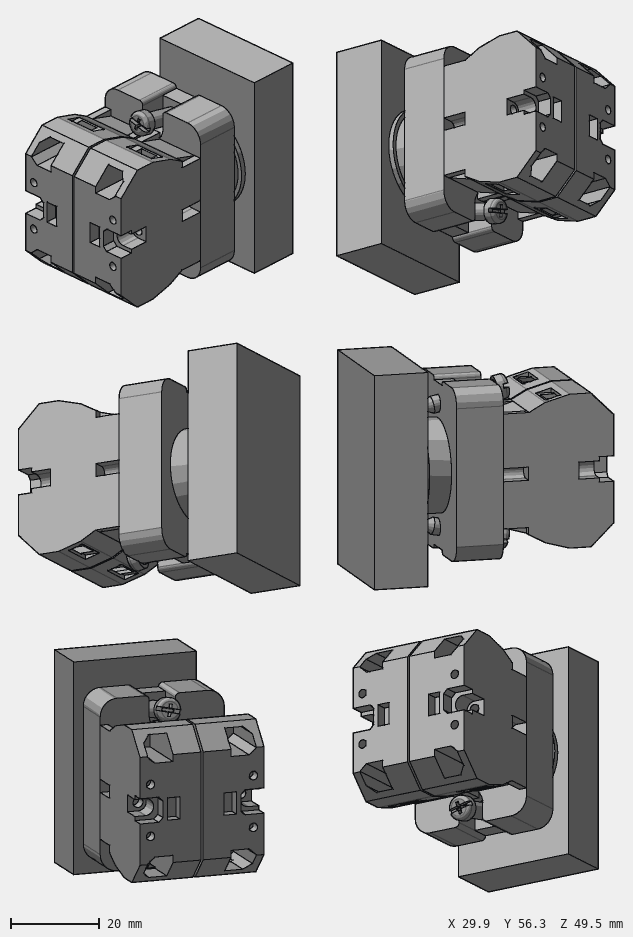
import cadquery as cq


head_width = 29.55
head_height = 49.5
head_thickness = 12.6
gasket_diameter = 23.9
gasket_thickness = 1.25
barrel_diameter = 21.8

body_width = 29.9
flange_height = 40.1
flange_corner_radius = 4.05
flange_front_y = -6.7
flange_rear_y = -17.75
notch_radius = 3.15
notch_center_z = 15.2
notch_lip_radius = 1.0
bridge_thickness = 4.45
bridge_top_z = 19.05
selection_margin = 0.05

screw_tip_y = -1.9
screw_tip_z = 13.3
screw_tilt = 11.4
screw_turn = 13.0
shank_diameter = 3.95
screw_point_length = 3.4
screw_grip_length = 18.5
screw_head_diameter = 5.75
screw_head_length = 2.75
screw_head_fillet = 0.9
slot_width = 0.95
slot_depth = 1.35
cross_length = 2.8
cross_width = 0.7
cross_depth = 1.7

block_gap = 0.55
unit_length = 56.3
block_rear_y = head_thickness - unit_length
block_half_height = 17.8
neck_half_height = 14.15
neck_low_z = 12.45
neck_end_y = -23.75
shoulder_y = -27.6
shoulder_z = 16.2
crown_start_y = -33.35
crown_end_y = -38.35
rear_half_height = 12.55
ledge_end_y = -23.65
side_strip_width = 1.85
rib_half_width = 2.2

hole_axis_x = -12.4
side_slot_radius = 1.5
pin_hole_diameter = 1.95
pin_hole_z = 6.0
pin_hole_depth = 2.8
latch_pocket_half_height = 2.9
latch_pocket_inner_x = -9.4
latch_pocket_chamfer = 1.0
latch_pocket_depth = 3.4
latch_slot_radius = 1.95
latch_slot_depth = 8.2
latch_hole_diameter = 2.35
latch_hole_depth = 2.8
key_pocket_outer_x = -8.3
key_pocket_inner_x = -5.3
key_pocket_height = 5.2
key_pocket_depth = 2.8
tunnel_inner_x = -7.0
tunnel_low_z = 10.9
tunnel_high_z = 16.6
tunnel_front_y = -28.7
tunnel_chamfer_x = 1.75
tunnel_chamfer_z = 1.5
window_front_y = -28.15
window_rear_y = -31.75
window_inner_x = -5.2
window_floor_z = 16.3

block_outer_x = -body_width / 2
block_inner_x = -block_gap / 2
strip_inner_x = block_outer_x + side_strip_width


def box_between(x0, x1, y0, y1, z0, z1):
    """Box given by its two limits along each axis."""
    size = (abs(x1 - x0), abs(y1 - y0), abs(z1 - z0))
    center = ((x0 + x1) / 2, (y0 + y1) / 2, (z0 + z1) / 2)
    return cq.Workplane("XY").box(*size).translate(center)


def section_at(y):
    """XZ sketch plane at the given Y; a positive extrusion runs toward -Y."""
    return cq.Workplane("XZ", origin=(0, y, 0))


def side_prism(points, x0, x1):
    """Prism with a YZ outline running from x0 to x1."""
    return cq.Workplane("YZ", origin=(x0, 0, 0)).polyline(points).close().extrude(x1 - x0)


def mirrored_in_z(shape):
    return shape.union(shape.mirror("XY"))


def make_head():
    return box_between(
        -head_width / 2, head_width / 2, 0, head_thickness, -head_height / 2, head_height / 2
    )


def make_gasket():
    return section_at(0).circle(gasket_diameter / 2).extrude(gasket_thickness)


def make_barrel():
    length = -flange_front_y - gasket_thickness
    return section_at(-gasket_thickness).circle(barrel_diameter / 2).extrude(length)


def make_screw():
    """Upper screw: built with its tip at the origin and its axis along -Y, then tilted into place."""
    shank_radius = shank_diameter / 2
    shank = (
        cq.Workplane("XY")
        .polyline(
            [
                (0, 0),
                (shank_radius, -screw_point_length),
                (shank_radius, -screw_grip_length),
                (0, -screw_grip_length),
            ]
        )
        .close()
        .revolve(360, (0, 0, 0), (0, 1, 0))
    )
    head = (
        section_at(-screw_grip_length)
        .circle(screw_head_diameter / 2)
        .extrude(screw_head_length)
        .faces("<Y")
        .edges()
        .fillet(screw_head_fillet)
    )
    end_face = section_at(-screw_grip_length - screw_head_length)
    slot = end_face.rect(screw_head_diameter, slot_width).extrude(-slot_depth)
    cross = end_face.rect(cross_length, cross_width).extrude(-cross_depth)
    cross = cross.union(end_face.rect(cross_width, cross_length).extrude(-cross_depth))
    screw = shank.union(head).cut(slot).cut(cross)
    screw = screw.rotate((0, 0, 0), (0, 1, 0), screw_turn)
    screw = screw.rotate((0, 0, 0), (1, 0, 0), -screw_tilt)
    return screw.translate((0, screw_tip_y, screw_tip_z))


def make_flange(screws):
    """Rounded plate with a U notch at top and bottom, each bridged at the front around its screw."""
    thickness = flange_front_y - flange_rear_y
    flange = (
        section_at(flange_front_y)
        .rect(body_width, flange_height)
        .extrude(thickness)
        .edges("|Y")
        .fillet(flange_corner_radius)
    )
    top_z = flange_height / 2
    notch = (
        section_at(flange_front_y)
        .moveTo(-notch_radius, top_z)
        .lineTo(-notch_radius, notch_center_z)
        .threePointArc((0, notch_center_z - notch_radius), (notch_radius, notch_center_z))
        .lineTo(notch_radius, top_z)
        .close()
        .extrude(thickness)
    )
    flange = flange.cut(mirrored_in_z(notch))
    lip_reach = notch_radius + selection_margin
    for z in (top_z, -top_z):
        lip_zone = cq.selectors.BoxSelector(
            (-lip_reach, flange_rear_y, z - selection_margin),
            (lip_reach, flange_front_y, z + selection_margin),
        )
        flange = flange.edges("|Y").edges(lip_zone).fillet(notch_lip_radius)
    bridge_limit = box_between(
        -notch_radius, notch_radius, flange_front_y, flange_front_y - bridge_thickness, 0, bridge_top_z
    )
    flange = flange.union(mirrored_in_z(notch.intersect(bridge_limit)))
    for screw in screws:
        flange = flange.cut(screw)
    return flange


def block_body():
    """Contact block outline, extruded across the block's width."""
    upper = [
        (flange_rear_y, neck_half_height),
        (neck_end_y, neck_half_height),
        (shoulder_y, shoulder_z),
        (crown_start_y, block_half_height),
        (crown_end_y, block_half_height),
        (block_rear_y, rear_half_height),
    ]
    lower = [(y, -z) for y, z in reversed(upper)]
    return side_prism(upper + lower, block_outer_x, block_inner_x)


def neck_ramps():
    """Wedges that slope the neck down to the flange between the side strip and the middle rib."""
    wedge = [
        (flange_rear_y, neck_low_z),
        (flange_rear_y, neck_half_height),
        (ledge_end_y, neck_half_height),
    ]
    return mirrored_in_z(side_prism(wedge, strip_inner_x, -rib_half_width))


def lower_strip_recess():
    """Step that removes the side strip along the bottom of the neck."""
    return box_between(
        block_outer_x, strip_inner_x, flange_rear_y, ledge_end_y, -neck_half_height, -neck_low_z
    )


def open_slot(front_y, length, radius):
    """Round-ended slot along Y that opens through the block's outer side."""
    channel = box_between(block_outer_x, hole_axis_x, front_y, front_y - length, -radius, radius)
    end = section_at(front_y).center(hole_axis_x, 0).circle(radius).extrude(length)
    return channel.union(end)


def rear_hole(z, diameter, start_y, depth):
    """Blind round hole drilled toward +Y from start_y."""
    return section_at(start_y).center(hole_axis_x, z).circle(diameter / 2).extrude(-depth)


def latch_recess():
    """Stepped recess at the outer side: a chamfered pocket, a round-ended slot and a blind hole."""
    pocket = box_between(
        block_outer_x,
        latch_pocket_inner_x,
        block_rear_y,
        block_rear_y + latch_pocket_depth,
        -latch_pocket_half_height,
        latch_pocket_half_height,
    )
    pocket = pocket.edges("|Y and >X").chamfer(latch_pocket_chamfer)
    slot_end_y = block_rear_y + latch_slot_depth
    slot = open_slot(slot_end_y, latch_slot_depth, latch_slot_radius)
    hole = rear_hole(0, latch_hole_diameter, slot_end_y, latch_hole_depth)
    return pocket.union(slot).union(hole)


def key_pocket():
    return box_between(
        key_pocket_outer_x,
        key_pocket_inner_x,
        block_rear_y,
        block_rear_y + key_pocket_depth,
        -key_pocket_height / 2,
        key_pocket_height / 2,
    )


def terminal_tunnel():
    """Tunnel from the rear with its two outer corners cut off."""
    flat_outer_x = strip_inner_x + tunnel_chamfer_x
    outline = [
        (tunnel_inner_x, tunnel_low_z),
        (tunnel_inner_x, tunnel_high_z),
        (flat_outer_x, tunnel_high_z),
        (strip_inner_x, tunnel_high_z - tunnel_chamfer_z),
        (strip_inner_x, tunnel_low_z + tunnel_chamfer_z),
        (flat_outer_x, tunnel_low_z),
    ]
    length = tunnel_front_y - block_rear_y
    return section_at(tunnel_front_y).polyline(outline).close().extrude(length)


def terminal_window():
    """Flat-floored window in the sloped face, above the front end of the tunnel."""
    return box_between(
        strip_inner_x, window_inner_x, window_front_y, window_rear_y, window_floor_z, block_half_height
    )


def make_left_block():
    block = block_body()
    block = block.cut(mirrored_in_z(terminal_tunnel())).cut(mirrored_in_z(terminal_window()))
    block = block.cut(neck_ramps()).cut(lower_strip_recess())
    side_slot_length = flange_rear_y - ledge_end_y
    block = block.cut(open_slot(flange_rear_y, side_slot_length, side_slot_radius))
    block = block.cut(latch_recess()).cut(key_pocket())
    for z in (pin_hole_z, -pin_hole_z):
        block = block.cut(rear_hole(z, pin_hole_diameter, block_rear_y, pin_hole_depth))
    return block


def make_blocks(screws):
    """Two equal blocks, the right one turned half a turn about Y, relieved where a screw head rests."""
    blocks = []
    for turn in (0, 180):
        block = make_left_block().rotate((0, 0, 0), (0, 1, 0), turn)
        for screw in screws:
            block = block.cut(screw)
        blocks.append(block)
    return blocks


upper_screw = make_screw()
screws = [upper_screw, upper_screw.mirror("XY")]
head = make_head()
gasket = make_gasket()
barrel = make_barrel()
flange = make_flange(screws)
contact_blocks = make_blocks(screws)

result = cq.Compound.makeCompound(
    [
        head.val(),
        gasket.val(),
        barrel.val(),
        flange.val(),
        *[screw.val() for screw in screws],
        *[block.val() for block in contact_blocks],
    ]
)